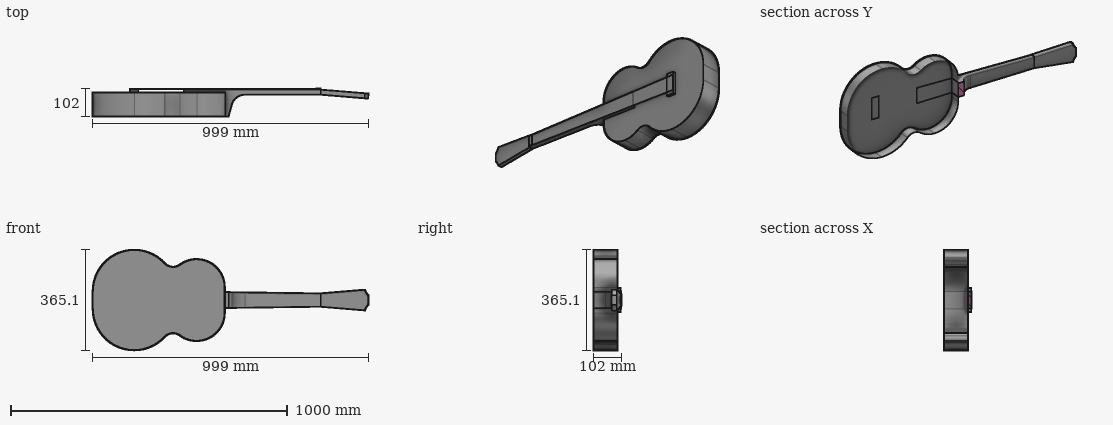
import cadquery as cq
import math


body_length = 479.6
body_depth = 88.4
wall = 2.0
lower_radius = 151.0
lower_half_width = 365.11 / 2
upper_radius = 103.0
upper_half_width = 149.0
waist_radius = 40.0

neck_top = 99.0
neck_back = 79.0
tongue_start_x = 329.5
nut_end_x = 825.0
tongue_half_width = 31.4
head_root_half_width = 24.6
heel_foot_length = 13.2
heel_slope = math.radians(75.0)
heel_radius = 49.0
edge_rounding = 3.1

nut_length = 15.0
nut_half_width = 21.0
nut_top = 102.03

total_length = 999.05
head_lean = math.radians(4.7)
head_drop = 0.8
head_thickness = neck_top - head_drop - neck_back
head_length = (total_length - nut_end_x) / math.cos(head_lean)
head_corner_length = 13.0
head_half_width = 38.0
head_tip_half_width = 16.5
head_corner_sag = 1.8

bridge_x = 151.0
bridge_length = 31.0
bridge_width = 88.0

string_thickness = 1.0
string_bridge_half_width = 31.5
string_nut_half_width = nut_half_width


def facing_back(y):
    """Sketch plane with local x along X and local y along Z; extrusions grow towards -Y."""
    return cq.Workplane("XZ", origin=(0, y, 0))


def mirrored(point):
    return (point[0], -point[1])


def on_circle(center, radius, angle):
    return (center[0] + radius * math.cos(angle), center[1] + radius * math.sin(angle))


def angle_from(start, end):
    return math.atan2(end[1] - start[1], end[0] - start[0])


def body_arcs(inset):
    """Arcs of the +Z half outline, moved inwards by the inset, as (start, middle, end) points."""
    lower_center = (lower_radius, lower_half_width - lower_radius)
    upper_center = (body_length - upper_radius, upper_half_width - upper_radius)
    span = math.dist(lower_center, upper_center)
    to_lower = lower_radius + waist_radius
    to_upper = upper_radius + waist_radius
    swing = math.acos((span**2 + to_lower**2 - to_upper**2) / (2 * span * to_lower))
    waist_center = on_circle(lower_center, to_lower, angle_from(lower_center, upper_center) + swing)
    lower_touch = angle_from(lower_center, waist_center)
    upper_touch = angle_from(upper_center, waist_center)

    def arc(center, radius, start, end):
        return [on_circle(center, radius, angle) for angle in (start, (start + end) / 2, end)]

    crest = math.pi / 2
    return [
        arc(lower_center, lower_radius - inset, math.pi, crest),
        arc(lower_center, lower_radius - inset, crest, lower_touch),
        arc(waist_center, waist_radius + inset, lower_touch - math.pi, upper_touch - math.pi),
        arc(upper_center, upper_radius - inset, upper_touch, crest),
        arc(upper_center, upper_radius - inset, crest, 0),
    ]


def body_block(inset):
    arcs = body_arcs(inset)
    outline = facing_back(body_depth - inset).moveTo(*arcs[0][0])
    for start, middle, end in arcs:
        outline = outline.threePointArc(middle, end)
    outline = outline.lineTo(*mirrored(arcs[-1][2]))
    for start, middle, end in reversed(arcs):
        outline = outline.threePointArc(mirrored(middle), mirrored(start))
    return outline.close().extrude(body_depth - 2 * inset, clean=False)


def build_body():
    return body_block(0).cut(body_block(wall), clean=False)


def tapered_bar(start, end, y_low, y_high):
    """Bar that narrows from start to end, each given as (x, half width)."""
    outline = facing_back(y_high).polyline([start, end, mirrored(end), mirrored(start)]).close()
    return outline.extrude(y_high - y_low)


def build_shaft():
    """Heel, neck bar and tongue, with rounded long edges and tongue end."""
    heel_foot_end = body_length + heel_foot_length
    slope_end_y = neck_back - heel_radius * (1 - math.cos(heel_slope))
    slope_end_x = heel_foot_end + slope_end_y / math.tan(heel_slope)
    arc_end_x = slope_end_x + heel_radius * math.sin(heel_slope)
    profile = (
        cq.Workplane("XY")
        .moveTo(tongue_start_x, body_depth)
        .lineTo(body_length, body_depth)
        .lineTo(body_length, 0)
        .lineTo(heel_foot_end, 0)
        .lineTo(slope_end_x, slope_end_y)
        .tangentArcPoint((arc_end_x, neck_back), relative=False)
        .lineTo(nut_end_x, neck_back)
        .lineTo(nut_end_x, neck_top)
        .lineTo(tongue_start_x, neck_top)
        .close()
        .extrude(tongue_half_width, both=True)
    )
    taper = tapered_bar((tongue_start_x, tongue_half_width), (nut_end_x, head_root_half_width), 0, neck_top)
    shaft = profile.intersect(taper)
    margin = 1.0
    heel_and_back = cq.selectors.BoxSelector(
        (heel_foot_end - margin, -margin, -tongue_half_width - margin),
        (nut_end_x - margin, neck_back + margin, tongue_half_width + margin),
    )
    rounded = shaft.edges(heel_and_back).edges("not |Z").fillet(edge_rounding)
    rounded = rounded.faces("<X").edges("|Y").fillet(edge_rounding)
    return rounded.faces(">Y").edges("not >X").fillet(edge_rounding)


def build_headstock():
    along = cq.Vector(math.cos(head_lean), -math.sin(head_lean), 0)
    backwards = cq.Vector(-math.sin(head_lean), -math.cos(head_lean), 0)
    plane = cq.Plane(origin=(nut_end_x, neck_top - head_drop, 0), xDir=along, normal=backwards)
    root = (0, head_root_half_width)
    corner = (head_length - head_corner_length, head_half_width)
    tip = (head_length, head_tip_half_width)
    chord = math.dist(corner, tip)
    hollow = (
        (corner[0] + tip[0]) / 2 - head_corner_sag * (corner[1] - tip[1]) / chord,
        (corner[1] + tip[1]) / 2 - head_corner_sag * (tip[0] - corner[0]) / chord,
    )
    plate = (
        cq.Workplane(plane)
        .moveTo(*root)
        .lineTo(*corner)
        .threePointArc(hollow, tip)
        .lineTo(*mirrored(tip))
        .threePointArc(mirrored(hollow), mirrored(corner))
        .lineTo(*mirrored(root))
        .close()
        .extrude(head_thickness)
    )
    back_face = cq.selectors.DirectionMinMaxSelector(backwards)
    plate = plate.faces(back_face).edges("not <X").fillet(edge_rounding)
    return plate.copyWorkplane(cq.Workplane("YZ", origin=(nut_end_x, 0, 0))).split(keepTop=True)


def build_nut():
    nut_outline = facing_back(nut_top).center(nut_end_x - nut_length / 2, 0)
    return nut_outline.rect(nut_length, 2 * nut_half_width).extrude(nut_top - neck_top)


def build_neck():
    return build_shaft().union(build_headstock()).union(build_nut())


def build_bridge():
    bridge_outline = facing_back(neck_top).center(bridge_x, 0)
    return bridge_outline.rect(bridge_length, bridge_width).extrude(neck_top - body_depth)


def build_strings():
    bridge_end = (bridge_x - bridge_length / 2, string_bridge_half_width)
    nut_end = (nut_end_x - nut_length, string_nut_half_width)
    return tapered_bar(bridge_end, nut_end, neck_top, neck_top + string_thickness)


body = build_body()
neck = build_neck()
bridge = build_bridge()
strings = build_strings()

result = cq.Compound.makeCompound([body.val(), neck.val(), bridge.val(), strings.val()])